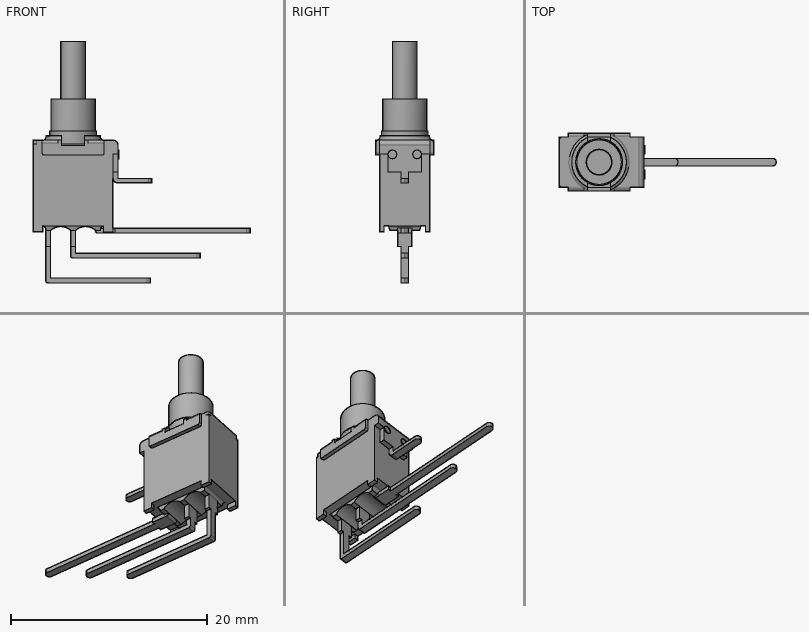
import cadquery as cq
import math


plunger_top = 24.6
plunger_diameter = 2.53
bore_diameter = 2.63
bushing_diameter = 4.53
bushing_top = 18.75
flange_diameter = 4.77
flange_top = 15.48

case_length = 8.12
case_width = 5.12
case_top = 14.15
case_floor = 5.8
foot_bottom = 5.22
foot_gap_length = 6.15
foot_gap_width = 4.2

sheet = 0.4
plate_top = case_top + sheet
plate_corner_radius = 0.32
tab_length = 6.3
tab_overall_width = 5.9
tab_bottom = 13.02
tab_edge_radius = 0.3
tab_corner_radius = 0.2
collar_diameter = 5.55
collar_base_diameter = 6.1
collar_top = 15.0
collar_rim = 0.07
collar_pad_length = 3.05
window_length = 2.31
window_bottom = 14.0

leg_sheet = 0.52
leg_bend_radius = 0.5
leg_ear_bottom = 13.15
leg_neck_bottom = 11.3
leg_neck_width = 3.45
leg_pin_bottom = 10.2
leg_pin_end = 8.02
leg_pin_thickness = 0.47
rivet_diameter = 0.89
rivet_height = 0.07
rivet_offset = 1.25
rivet_level = 13.1

lead_count = 3
pitch = 2.53
lead_thickness = 0.52
pin_width = 0.79
pin_tip_radius = 0.37
lead_wide_width = 1.45
lead_bend_radius = 0.25
first_lead_end = 7.9
shoulder_level = 3.7
last_lead_shoulder = 4.28

seal_bottom = 5.36
seal_dip = 5.73
seal_top_width = 3.3
seal_bottom_width = 3.05

curve_fraction = 1 - math.sqrt(0.5)

case_end = case_length / 2
leg_outer = case_end + leg_sheet


def block(x_min, x_max, width, z_min, z_max):
    """Box centred on Y = 0."""
    size = (x_max - x_min, width, z_max - z_min)
    return cq.Workplane("XY").box(*size, centered=(False, True, False)).translate((x_min, 0, z_min))


def cylinder(diameter, z_min, z_max):
    """Cylinder on the plunger axis."""
    return cq.Workplane("XY").workplane(offset=z_min).circle(diameter / 2).extrude(z_max - z_min)


def round_tip(pin):
    """Round the free end of a horizontal pin in plan."""
    return pin.faces(">X").edges("|Z").fillet(pin_tip_radius)


def make_case():
    case = block(-case_end, case_end, case_width, foot_bottom, case_top)
    gap_end = foot_gap_length / 2
    lengthwise_gap = block(-case_end, case_end, foot_gap_width, foot_bottom, case_floor)
    crosswise_gap = block(-gap_end, gap_end, case_width, foot_bottom, case_floor)
    return case.cut(lengthwise_gap).cut(crosswise_gap)


def make_collar():
    """Ring around the bushing that flares down onto the bracket plate in a concave curve."""
    rim_radius = collar_diameter / 2
    base_radius = collar_base_diameter / 2
    rim_bottom = collar_top - collar_rim
    flare_width = base_radius - rim_radius
    flare_height = rim_bottom - plate_top
    curve_middle = (rim_radius + curve_fraction * flare_width, plate_top + curve_fraction * flare_height)
    collar = (
        cq.Workplane("XZ")
        .moveTo(0, plate_top)
        .lineTo(base_radius, plate_top)
        .threePointArc(curve_middle, (rim_radius, rim_bottom))
        .lineTo(rim_radius, collar_top)
        .lineTo(0, collar_top)
        .close()
        .revolve(360, (0, 0, 0), (0, 1, 0))
    )
    return collar.intersect(block(-base_radius, base_radius, tab_overall_width, plate_top, collar_top))


def make_plate():
    plate = block(-case_end, case_end, case_width, case_top, plate_top)
    return plate.faces("<X").edges("|Z").fillet(plate_corner_radius)


def make_tabs():
    """Side tabs folded down over both long walls of the case, with a square top edge beside the collar."""
    tab_end = tab_length / 2
    tabs = block(-tab_end, tab_end, tab_overall_width, tab_bottom, plate_top)
    tabs = tabs.faces(">Z").edges("|X").fillet(tab_edge_radius)
    tabs = tabs.faces("<Z").edges("|Y").fillet(tab_corner_radius)
    half_pad = collar_pad_length / 2
    square_edge = block(-half_pad, half_pad, tab_overall_width, plate_top - tab_edge_radius, plate_top)
    return tabs.union(square_edge).cut(block(-tab_end, tab_end, case_width, tab_bottom, case_top))


def make_leg():
    """Leg folded down the end wall, narrowing in two steps to a solder pin folded outwards."""
    ear = block(case_end, leg_outer, case_width, leg_ear_bottom, plate_top)
    ear = ear.faces(">Z").edges(">X").fillet(leg_bend_radius)
    neck = block(case_end, leg_outer, leg_neck_width, leg_neck_bottom, leg_ear_bottom)
    shank = block(case_end, leg_outer, pin_width, leg_pin_bottom, leg_neck_bottom)
    pin = block(case_end, leg_pin_end, pin_width, leg_pin_bottom, leg_pin_bottom + leg_pin_thickness)
    leg = ear.union(neck).union(shank).union(round_tip(pin))
    outer_corner = cq.selectors.NearestToPointSelector((case_end, 0, leg_pin_bottom))
    leg = leg.edges(outer_corner).fillet(leg_pin_thickness)
    rivets = (
        cq.Workplane("YZ", origin=(leg_outer, 0, rivet_level))
        .pushPoints([(-rivet_offset, 0), (rivet_offset, 0)])
        .circle(rivet_diameter / 2)
        .extrude(rivet_height)
    )
    return leg.union(rivets)


def make_bracket():
    bracket = make_plate().union(make_tabs()).union(make_collar())
    half_window = window_length / 2
    window = block(-half_window, half_window, tab_overall_width, window_bottom, collar_top)
    case_volume = block(-half_window, half_window, case_width, window_bottom, case_top)
    return bracket.cut(window.cut(case_volume)).union(make_leg())


def make_bushing():
    flange = cylinder(flange_diameter, case_top, flange_top)
    return flange.union(cylinder(bushing_diameter, case_top, bushing_top))


def make_lead(index):
    """L-shaped lead; each next one starts a pitch further along X, a pitch higher, and ends two pitches on."""
    centre = (index - 1) * pitch
    inner = centre - lead_thickness / 2
    bottom = index * pitch
    end = first_lead_end + 2 * pitch * index
    upright = block(inner, inner + lead_thickness, pin_width, bottom, case_floor)
    run = block(inner, end, pin_width, bottom, bottom + lead_thickness)
    lead = upright.union(round_tip(run))
    if bottom < shoulder_level:
        wide = block(inner, inner + lead_thickness, lead_wide_width, shoulder_level, case_floor)
    else:
        wide = block(inner, last_lead_shoulder, lead_wide_width, bottom, bottom + lead_thickness)
        wide = wide.union(block(inner, inner + lead_thickness, lead_wide_width, bottom, case_floor))
    lead = lead.union(wide)
    return lead.faces("<X").edges("<Z").fillet(lead_bend_radius)


def make_seal():
    """Compound on the case floor, standing up at each lead and dipping between them."""
    half_lead = lead_thickness / 2
    half_gap = foot_gap_length / 2
    outer_face = pitch + half_lead
    curve_x = outer_face + curve_fraction * (half_gap - outer_face)
    curve_z = case_floor - curve_fraction * (case_floor - seal_bottom)
    profile = (
        cq.Workplane("XZ")
        .moveTo(-half_gap, case_floor)
        .threePointArc((-curve_x, curve_z), (-outer_face, seal_bottom))
    )
    for centre in (-pitch, 0):
        profile = (
            profile.lineTo(centre + half_lead, seal_bottom)
            .threePointArc((centre + pitch / 2, seal_dip), (centre + pitch - half_lead, seal_bottom))
        )
    profile = (
        profile.lineTo(outer_face, seal_bottom)
        .threePointArc((curve_x, curve_z), (half_gap, case_floor))
        .close()
    )
    ridges = profile.extrude(seal_top_width / 2, both=True)
    sloped_ends = (
        cq.Workplane("YZ")
        .polyline([
            (-seal_top_width / 2, case_floor),
            (-seal_bottom_width / 2, seal_bottom),
            (seal_bottom_width / 2, seal_bottom),
            (seal_top_width / 2, case_floor),
        ])
        .close()
        .extrude(half_gap, both=True)
    )
    return ridges.intersect(sloped_ends)


def make_housing():
    housing = make_case().union(make_bracket()).union(make_bushing()).union(make_seal())
    for index in range(lead_count):
        housing = housing.union(make_lead(index))
    return housing.cut(cylinder(bore_diameter, case_top, bushing_top))


def make_plunger():
    """Plain pin standing on the floor of the bushing bore."""
    return cylinder(plunger_diameter, case_top, plunger_top)


housing = make_housing()
plunger = make_plunger()
result = cq.Compound.makeCompound([housing.solids().val(), plunger.val()])